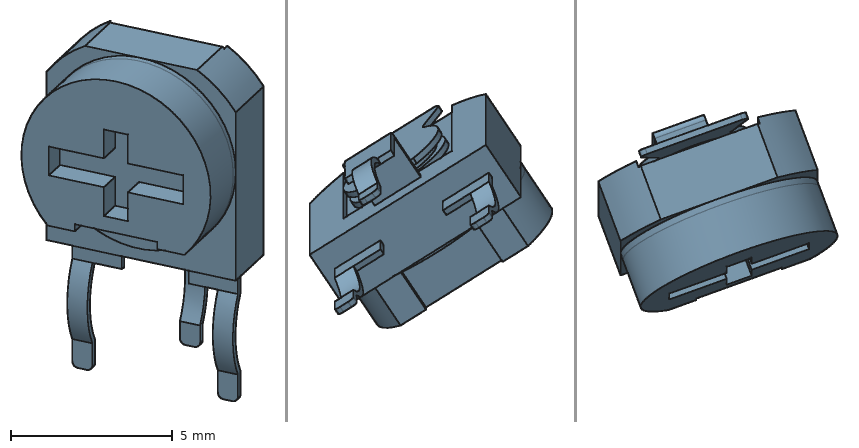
import cadquery as cq
import math


housing_width = 6.5
housing_height = 7.0
housing_depth = 2.0
crown_radius = 4.0
front_y = -housing_depth / 2
back_y = housing_depth / 2
bottom_z = -housing_height / 2
top_z = housing_height / 2

sheet = 0.2

rotor_radius = housing_width / 2
rotor_z = top_z - rotor_radius
knob_depth = 1.6
knob_flat = 2.25
notch_width = 2.82
notch_top = 2.0
cross_width = 4.61
cross_height = 3.0
cross_bar_height = 1.0
cross_post_width = 0.82
cross_depth = 0.8

flange_radius = 1.75
hub_radius = 1.45
plate_bottom = 1.54
tongue_top = 2.83
tongue_half_width = 1.89
tongue_flare = 27.0
plate_fillet = 0.2

pocket_width = 4.0
pocket_bottom = -flange_radius

lead_width = 0.69
lead_root_width = 1.69
lead_root_length = 1.0
bow_length = 2.78
bow_rise = 0.36
bow_inset = 0.04
side_lead_length = 4.75
side_lead_outer_x = 2.84
center_lead_length = 4.54
center_lead_offset = 1.69
center_strip_top = -2.33
tip_fillet = 0.2
bend_fillet = sheet


def slab(width, y_start, y_end, z_low, z_high, x_center=0.0):
    """Box given by its width and its Y and Z limits."""
    return cq.Workplane("XY").box(width, y_end - y_start, z_high - z_low).translate(
        (x_center, (y_start + y_end) / 2, (z_low + z_high) / 2)
    )


def disc(radius, y_start, y_end, z_center):
    """Cylinder along Y between two Y limits."""
    return (
        cq.Workplane("XZ", origin=(0, y_start, z_center))
        .circle(radius)
        .extrude(y_start - y_end)
    )


def lead_blade(x_center, y_rear, bow_direction, root_x_center, root_top, length):
    """Upright lead: a wide root, then a narrow bowed leg with a rounded tip.

    bow_direction is the sign of the Y direction in which the leg bows out.
    """
    y_outer = y_rear if bow_direction > 0 else y_rear - sheet
    y_inner = y_outer - bow_direction * sheet
    bow = bow_direction * bow_rise
    z_outer_start = bottom_z - lead_root_length
    z_middle = z_outer_start - bow_length / 2
    z_outer_end = z_outer_start - bow_length
    z_inner_start = z_outer_start - bow_inset
    z_inner_end = z_outer_end + bow_inset
    z_tip = bottom_z - length
    root = (
        cq.Workplane("YZ", origin=(root_x_center - lead_root_width / 2, 0, 0))
        .moveTo(y_outer, root_top)
        .lineTo(y_outer, z_outer_start)
        .lineTo(y_inner, z_inner_start)
        .lineTo(y_inner, root_top)
        .close()
        .extrude(lead_root_width)
    )
    leg = (
        cq.Workplane("YZ", origin=(x_center - lead_width / 2, 0, 0))
        .moveTo(y_outer, z_outer_start)
        .threePointArc((y_outer + bow, z_middle), (y_outer, z_outer_end))
        .lineTo(y_outer, z_tip)
        .lineTo(y_inner, z_tip)
        .lineTo(y_inner, z_inner_end)
        .threePointArc((y_inner + bow, z_middle), (y_inner, z_inner_start))
        .close()
        .extrude(lead_width)
    )
    return root.union(leg.faces("<Z").edges("|Y").fillet(tip_fillet))


def side_lead(side):
    """Outer lead in the middle of the housing; side is -1 or 1."""
    leg_x = side * (side_lead_outer_x - lead_width / 2)
    root_x = side * (side_lead_outer_x - lead_root_width / 2)
    return lead_blade(leg_x, sheet, -1, root_x, bottom_z, side_lead_length)


def center_lead():
    """Lead that leaves the back of the housing and bends down."""
    y_rear = back_y + center_lead_offset
    strip = slab(lead_root_width, back_y, y_rear, center_strip_top - sheet, center_strip_top)
    blade = lead_blade(0, y_rear, 1, 0, center_strip_top, center_lead_length)
    bend_edge = cq.selectors.BoxSelector(
        (-lead_root_width, y_rear - sheet / 2, center_strip_top - sheet / 2),
        (lead_root_width, y_rear + sheet / 2, center_strip_top + sheet / 2),
    )
    return strip.union(blade).edges("|X").edges(bend_edge).fillet(bend_fillet)


def make_housing():
    block = slab(housing_width, front_y, back_y, bottom_z, top_z)
    crown = disc(crown_radius, front_y, back_y, 0).union(
        slab(housing_width, front_y, back_y, bottom_z, 0)
    )
    pocket = slab(pocket_width, back_y - sheet, back_y, pocket_bottom, top_z)
    housing = block.intersect(crown).cut(pocket)
    for side in (-1, 1):
        housing = housing.union(side_lead(side))
    return housing.union(center_lead())


def screwdriver_cross(face_y):
    """Cross-shaped recess volume centred on the rotor axis."""
    floor_y = face_y + cross_depth
    bar_reach = cross_bar_height / 2
    post_reach = cross_height / 2
    bar = slab(cross_width, face_y, floor_y, rotor_z - bar_reach, rotor_z + bar_reach)
    post = slab(cross_post_width, face_y, floor_y, rotor_z - post_reach, rotor_z + post_reach)
    return bar.union(post).clean()


def make_rotor():
    base_y = front_y - sheet
    face_y = base_y - knob_depth
    base = disc(rotor_radius, base_y, front_y, rotor_z)
    knob = disc(rotor_radius, face_y, base_y, rotor_z)
    below_flat = slab(housing_width, face_y, base_y, rotor_z - rotor_radius, rotor_z - knob_flat)
    notch = slab(notch_width, face_y, base_y, rotor_z - rotor_radius, rotor_z - notch_top)
    rotor = base.union(knob.cut(below_flat).cut(notch))
    return rotor.cut(screwdriver_cross(face_y))


def make_wiper():
    hub_end_y = back_y + sheet
    plate_end_y = hub_end_y + sheet
    flange = disc(flange_radius, back_y - sheet, back_y, 0)
    hub = disc(hub_radius, back_y, hub_end_y, 0)
    round_plate = disc(flange_radius, hub_end_y, plate_end_y, 0).intersect(
        slab(2 * flange_radius, hub_end_y, plate_end_y, -plate_bottom, flange_radius)
    )
    root_half_width = tongue_half_width - tongue_top * math.tan(math.radians(tongue_flare))
    tongue = (
        cq.Workplane("XZ", origin=(0, hub_end_y, 0))
        .moveTo(-root_half_width, 0)
        .lineTo(root_half_width, 0)
        .lineTo(tongue_half_width, tongue_top)
        .lineTo(-tongue_half_width, tongue_top)
        .close()
        .extrude(-sheet)
    )
    upper_corners = cq.selectors.BoxSelector(
        (-housing_width, hub_end_y, 0), (housing_width, plate_end_y, housing_height)
    )
    plate = round_plate.union(tongue).edges("|Y").edges(upper_corners).fillet(plate_fillet)
    return flange.union(hub).union(plate)


housing = make_housing()
rotor = make_rotor()
wiper = make_wiper()

result = cq.Compound.makeCompound([body.solids().val() for body in (housing, rotor, wiper)])